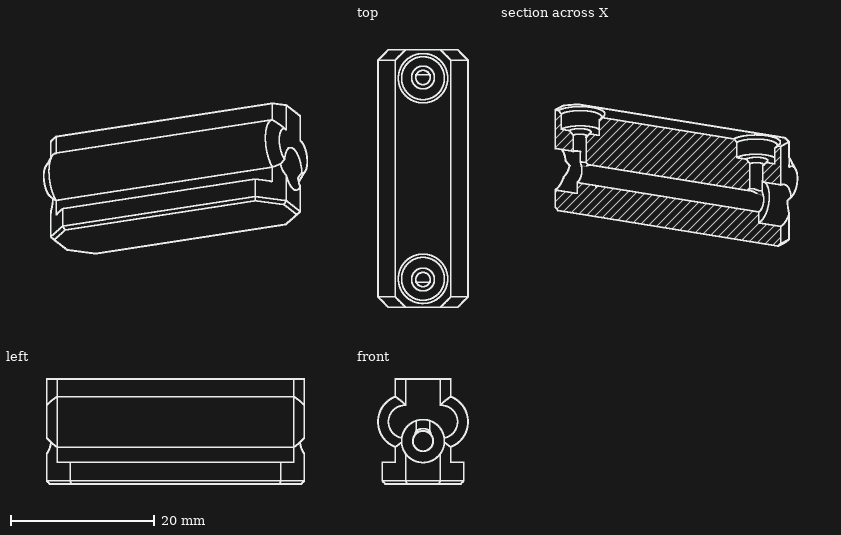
import cadquery as cq

length = 36.0
height = 14.67
body_width = 7.75
end_chamfer = 1.47

foot_width = 11.4
foot_height = 3.05
foot_edge_chamfer = 0.45

rail_width = 12.6
rail_radius = 3.77
rail_center_height = 8.69

bore_height = 6.0
bore_diameter = 2.8
end_counterbore_diameter = 6.0
end_counterbore_depth = 3.5

pocket_offset = 14.0
pocket_diameter = 6.0
pocket_depth = 2.67
pocket_chamfer = 0.45
pocket_floor = height - pocket_depth

cross_hole_offset = 14.1
cross_hole_diameter = 2.0
cross_hole_mouth_diameter = 3.2
junction_chamfer = 0.33


def bevelled_plate(width, plate_height):
    """Plate on the base plane whose bevels all end on the same flat end face."""
    end_flat_width = body_width - 2 * end_chamfer
    corner_bevel = (width - end_flat_width) / 2
    return (
        cq.Workplane("XY")
        .rect(width, length)
        .extrude(plate_height)
        .edges("|Z")
        .chamfer(corner_bevel)
    )


def make_foot():
    """Wide base with a bevel around its bottom edge."""
    return bevelled_plate(foot_width, foot_height).faces("<Z").edges().chamfer(foot_edge_chamfer)


def make_rails():
    """Rounded side rails with bevelled ends."""
    return (
        cq.Workplane("XZ", origin=(0, 0, rail_center_height))
        .slot2D(rail_width, 2 * rail_radius)
        .extrude(length / 2, both=True)
        .faces("<Y or >Y")
        .edges()
        .chamfer(end_chamfer)
    )


def make_body():
    """Foot, upright web and rails joined together."""
    foot = make_foot()
    web = bevelled_plate(body_width, height - foot_height).translate((0, 0, foot_height))
    return foot.union(web).union(make_rails())


def lengthwise_cylinder(diameter, cylinder_length):
    """Cylinder on the bore axis, centred on the length of the part."""
    return (
        cq.Workplane("XZ", origin=(0, 0, bore_height))
        .circle(diameter / 2)
        .extrude(cylinder_length / 2, both=True)
    )


def make_end_counterbores():
    """Cutter for the wider part of the bore at both ends."""
    uncut_length = length - 2 * end_counterbore_depth
    return lengthwise_cylinder(end_counterbore_diameter, length).cut(
        lengthwise_cylinder(end_counterbore_diameter, uncut_length)
    )


def make_bore_with_cross_holes():
    """Cutter for the bore and both cross holes, bevelled where they meet."""
    cutter = lengthwise_cylinder(bore_diameter, length)
    for side in (-1, 1):
        cross_hole = (
            cq.Workplane("XY", origin=(0, side * cross_hole_offset, bore_height))
            .circle(cross_hole_diameter / 2)
            .extrude(pocket_floor - bore_height)
        )
        cutter = cutter.union(cross_hole)
    saddle_edges = cutter.edges("%BSPLINE or %OTHER")
    return saddle_edges.chamfer(junction_chamfer)


def make_pocket(side):
    """Revolved cutter for a round pocket with a chamfered rim."""
    radius = pocket_diameter / 2
    return (
        cq.Workplane("XZ", origin=(0, side * pocket_offset, 0))
        .moveTo(0, pocket_floor)
        .lineTo(radius, pocket_floor)
        .lineTo(radius, height - pocket_chamfer)
        .lineTo(radius + pocket_chamfer, height)
        .lineTo(0, height)
        .close()
        .revolve(360, (0, 0, 0), (0, 1, 0))
    )


def make_cross_hole_mouth(side):
    """Conical cutter that flares a cross hole at the pocket floor."""
    mouth_radius = cross_hole_mouth_diameter / 2
    hole_radius = cross_hole_diameter / 2
    return cq.Workplane(
        cq.Solid.makeCone(
            mouth_radius,
            hole_radius,
            mouth_radius - hole_radius,
            pnt=cq.Vector(0, side * cross_hole_offset, pocket_floor),
            dir=cq.Vector(0, 0, -1),
        )
    )


result = make_body().cut(make_bore_with_cross_holes()).cut(make_end_counterbores())
for side in (-1, 1):
    result = result.cut(make_pocket(side)).cut(make_cross_hole_mouth(side))